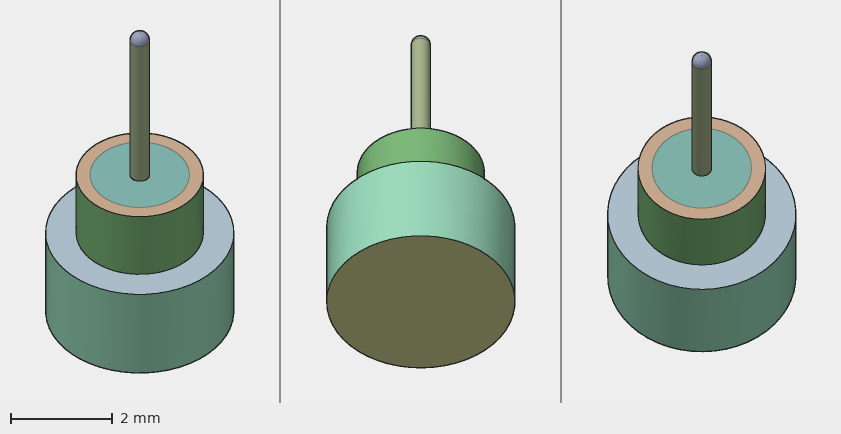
import cadquery as cq

total_height = 7.25
base_diameter = 3.7
base_height = 2.05
collar_diameter = 2.5
collar_top = 3.55

bead_diameter = 1.95

pin_diameter = 0.385
tip_flat_radius = 0.0035
tip_rounding = pin_diameter / 2 - tip_flat_radius


def cylinder(diameter, bottom, top):
    """Upright cylinder on the Z axis between two heights."""
    return cq.Workplane("XY").workplane(offset=bottom).circle(diameter / 2).extrude(top - bottom)


base = cylinder(base_diameter, 0, base_height)
bead = cylinder(bead_diameter, base_height, collar_top)
collar = cylinder(collar_diameter, base_height, collar_top).cut(bead)
pin = cylinder(pin_diameter, collar_top, total_height).faces(">Z").edges().fillet(tip_rounding)

result = base.union(collar, clean=False).union(bead, clean=False).union(pin, clean=False)